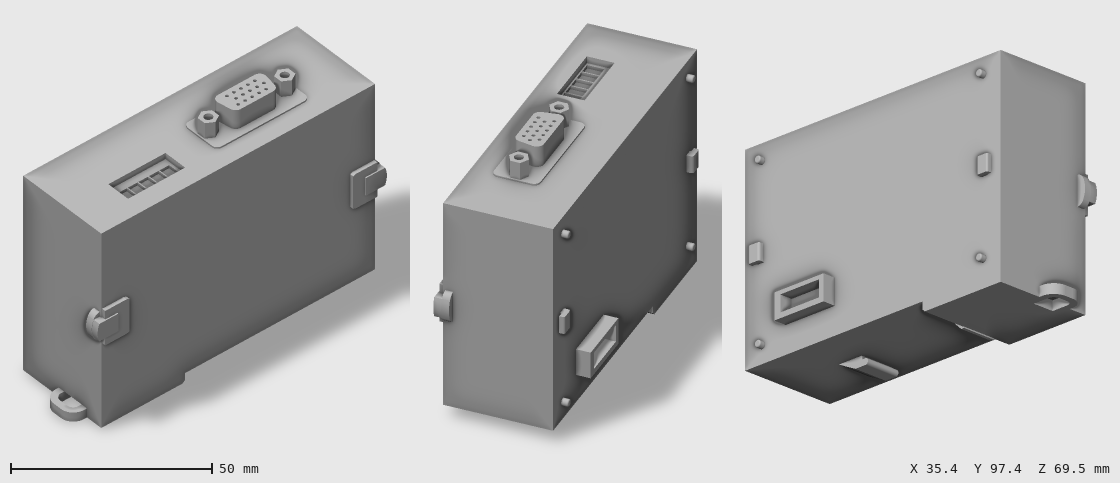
import cadquery as cq
import math

BODY_X = 29.8
BODY_Y = 89.7
BODY_Z = 59.7
FOOT_Y = 27.5
FOOT_DROP = 2.9
FOOT_CHAMFER = 0.8

PLATE_CENTRE = (17.5, 58.2)
PLATE_X = 12.7
PLATE_Y = 30.6
PLATE_HEIGHT = 0.5
PLATE_RADIUS = 1.8
SHELL_X = 7.9
SHELL_LONG_SIDE = 16.7
SHELL_TAPER = 10.0
SHELL_RADIUS = 1.9
SHELL_TOP = 6.5
CONTACT_DIA = 1.0
CONTACT_DEPTH = 2.9
CONTACTS_PER_ROW = 5
CONTACT_ROW_LENGTH = 9.2
CONTACT_PITCH = CONTACT_ROW_LENGTH / (CONTACTS_PER_ROW - 1)
CONTACT_ROW_GAP = 2.1
STANDOFF_SPACING = 25.0
STANDOFF_FLATS = 4.7
STANDOFF_TOP = 5.5
STANDOFF_BORE = 2.5

BANK_X = 7.5
BANK_Y = 18.7
BANK_CENTRE = (20.1, 23.3)
BANK_DEPTH = 1.9
SWITCH_COUNT = 5
SWITCH_X = 4.7
SWITCH_Y = 3.1
SWITCH_ROW_LENGTH = 13.8
SWITCH_PITCH = SWITCH_ROW_LENGTH / (SWITCH_COUNT - 1)
SWITCH_DEPTH = 1.0
SWITCH_OFFSET_X = 1.0

SOCKET_PROJECTION = 4.0
SOCKET_Y = 17.2
SOCKET_Z = 7.6
SOCKET_CENTRE = (66.8, 11.9)
CAVITY_Y = 13.6
CAVITY_Z = 4.9
CAVITY_CENTRE = (66.5, 12.1)

SIDE_PROJECTION = 1.85
PIN_DIA = 2.0
PIN_ROUNDING = 0.4
PIN_INSET = 6.0
PIN_LEVELS = (5.1, 54.9)
HOOK_LEVEL = 29.8
HOOK_Z = 5.0
HOOK_INSET = 2.9
HOOK_LENGTH = 3.8
HOOK_BARB = 1.6
HOOK_GAP = 0.4
HOOK_BARB_RADIUS = 0.5
HOOK_NECK_RADIUS = 0.7

CLIP_LEVEL = HOOK_LEVEL
CLIP_OVERHANG = 2.6
CLIP_Z = 8.7
CLIP_NOSE_RADIUS = 7.0
CLIP_CORNER_RADIUS = 2.4
CLIP_X_START = 27.1
CLIP_X_END = 29.2
TONGUE_Z = 5.65
TONGUE_PROJECTION = 1.6
TONGUE_RECESS = 0.1
TONGUE_LENGTH = 4.3
CLIP_PLATE_THICKNESS = 1.2
CLIP_PLATE_INSET = 0.3
CLIP_PLATE_END = 8.2
CLIP_PLATE_Z = 11.1
CLIP_PLATE_RAMP = 0.9
CLIP_PLATE_TAPER = 0.3

LATCH_X = 13.6
LATCH_WIDTH = 10.7
LOOP_LENGTH = 5.1
LOOP_RADIUS = 4.0
LOOP_WALL = 2.0
LOOP_SLOT_END = 4.0
LIP_REACH = 2.2
LIP_TOP = 1.2
LATCH_DROP = 3.3
LIP_FLAT = 1.0
RAIL_HOOK_ROOT_Y = 70.4
RAIL_HOOK_HEEL_Y = 64.6
RAIL_HOOK_NECK_Y = 62.4
RAIL_HOOK_TIP_Y = 60.2
RAIL_HOOK_GAP = 1.1
RAIL_HOOK_TIP_RADIUS = 0.8
RAIL_HOOK_EMBED = 0.5


def span_box(x, y, z):
    """Box from (low, high) pairs along each axis."""
    size = (x[1] - x[0], y[1] - y[0], z[1] - z[0])
    return cq.Workplane("XY").box(*size, centered=False).translate((x[0], y[0], z[0]))


def side_profile(points, x_start, x_end):
    """Extrude a closed (Y, Z) outline along X."""
    return cq.Workplane("YZ", origin=(x_start, 0, 0)).polyline(points).close().extrude(x_end - x_start)


def mirrored_ends(piece):
    """The piece at the Y = 0 end and its mirror image at the far end."""
    return piece.union(piece.mirror("XZ", (0, BODY_Y / 2, 0)))


def housing():
    outline = [
        (0, -FOOT_DROP),
        (FOOT_Y - FOOT_CHAMFER, -FOOT_DROP),
        (FOOT_Y, FOOT_CHAMFER - FOOT_DROP),
        (FOOT_Y, 0),
        (BODY_Y, 0),
        (BODY_Y, BODY_Z),
        (0, BODY_Z),
    ]
    return side_profile(outline, 0, BODY_X)


def dsub_connector():
    top = cq.Workplane("XY", origin=(*PLATE_CENTRE, BODY_Z))
    plate = top.rect(PLATE_X, PLATE_Y).extrude(PLATE_HEIGHT).edges("|Z").fillet(PLATE_RADIUS)

    long_half = SHELL_LONG_SIDE / 2
    short_half = long_half - SHELL_X * math.tan(math.radians(SHELL_TAPER))
    shell = (
        top.polyline([
            (-SHELL_X / 2, -long_half),
            (SHELL_X / 2, -short_half),
            (SHELL_X / 2, short_half),
            (-SHELL_X / 2, long_half),
        ])
        .close()
        .extrude(SHELL_TOP)
        .edges("|Z")
        .fillet(SHELL_RADIUS)
    )

    contacts = []
    for row in (-1, 0, 1):
        shift = CONTACT_PITCH / 2 if row == 0 else 0
        for index in range(CONTACTS_PER_ROW):
            y = index * CONTACT_PITCH - CONTACT_ROW_LENGTH / 2 + shift
            contacts.append((row * CONTACT_ROW_GAP, y))
    sockets = (
        top.workplane(offset=SHELL_TOP - CONTACT_DEPTH)
        .pushPoints(contacts)
        .circle(CONTACT_DIA / 2)
        .extrude(CONTACT_DEPTH)
    )

    places = [(0, -STANDOFF_SPACING / 2), (0, STANDOFF_SPACING / 2)]
    standoff_corners = STANDOFF_FLATS / math.cos(math.pi / 6)
    standoffs = top.pushPoints(places).polygon(6, standoff_corners).extrude(STANDOFF_TOP)
    bores = (
        top.workplane(offset=PLATE_HEIGHT)
        .pushPoints(places)
        .circle(STANDOFF_BORE / 2)
        .extrude(STANDOFF_TOP - PLATE_HEIGHT)
    )
    return plate.union(shell.cut(sockets)).union(standoffs.cut(bores))


def switch_bank():
    """Material removed for the recess and the switch windows in its floor."""
    top = cq.Workplane("XY", origin=(*BANK_CENTRE, BODY_Z))
    recess = top.rect(BANK_X, BANK_Y).extrude(-BANK_DEPTH)
    windows = (
        top.center(SWITCH_OFFSET_X, 0)
        .rarray(1, SWITCH_PITCH, 1, SWITCH_COUNT)
        .rect(SWITCH_X, SWITCH_Y)
        .extrude(-BANK_DEPTH - SWITCH_DEPTH)
    )
    return recess.union(windows)


def side_socket():
    face = cq.Workplane("YZ")
    block = face.center(*SOCKET_CENTRE).rect(SOCKET_Y, SOCKET_Z).extrude(-SOCKET_PROJECTION)
    cavity = face.center(*CAVITY_CENTRE).rect(CAVITY_Y, CAVITY_Z).extrude(-SOCKET_PROJECTION)
    return block.cut(cavity)


def locating_pins():
    places = [(y, z) for y in (PIN_INSET, BODY_Y - PIN_INSET) for z in PIN_LEVELS]
    pins = cq.Workplane("YZ").pushPoints(places).circle(PIN_DIA / 2).extrude(-SIDE_PROJECTION)
    return pins.faces("<X").edges().fillet(PIN_ROUNDING)


def snap_hook():
    """Hook at the Y = 0 end; its barb points outwards, clear of the housing."""
    barb_y = HOOK_INSET
    neck_y = HOOK_INSET + HOOK_BARB
    back_y = HOOK_INSET + HOOK_LENGTH
    hook = (
        cq.Workplane("XY", origin=(0, 0, HOOK_LEVEL - HOOK_Z / 2))
        .polyline([
            (0, neck_y),
            (-HOOK_GAP, neck_y),
            (-HOOK_GAP, barb_y),
            (-SIDE_PROJECTION, barb_y),
            (-SIDE_PROJECTION, back_y),
            (0, back_y),
        ])
        .close()
        .extrude(HOOK_Z)
    )
    hook = hook.edges("|Z and <X and <Y").fillet(HOOK_BARB_RADIUS)
    return hook.edges("|Z and <X and >Y").fillet(HOOK_NECK_RADIUS)


def release_clip():
    """Clip at the Y = 0 end: rounded finger cap, tongue and backing plate."""
    half = CLIP_Z / 2
    sagitta = CLIP_NOSE_RADIUS - math.sqrt(CLIP_NOSE_RADIUS**2 - half**2)
    flank_y = sagitta - CLIP_OVERHANG
    outer_x = BODY_X + TONGUE_PROJECTION
    nose = (
        cq.Workplane("YZ", origin=(CLIP_X_START, 0, CLIP_LEVEL))
        .moveTo(CLIP_OVERHANG, -half)
        .lineTo(flank_y, -half)
        .threePointArc((-CLIP_OVERHANG, 0), (flank_y, half))
        .lineTo(CLIP_OVERHANG, half)
        .close()
        .extrude(outer_x - CLIP_X_START)
        .edges("|X and (not >Y)")
        .fillet(CLIP_CORNER_RADIUS)
    )
    levels = (CLIP_LEVEL - half, CLIP_LEVEL + half)
    tongue_levels = (CLIP_LEVEL - TONGUE_Z / 2, CLIP_LEVEL + TONGUE_Z / 2)
    cap = nose.intersect(span_box((CLIP_X_START, CLIP_X_END), (-CLIP_OVERHANG, 0), levels))
    tongue_tip = nose.translate((0, TONGUE_RECESS, 0)).intersect(
        span_box((CLIP_X_END, outer_x), (-CLIP_OVERHANG, 0), tongue_levels)
    )
    tongue = span_box((BODY_X, outer_x), (0, TONGUE_LENGTH), tongue_levels)
    plate_half = CLIP_PLATE_Z / 2
    ramp_y = CLIP_PLATE_END - CLIP_PLATE_RAMP
    end_half = plate_half - CLIP_PLATE_TAPER
    plate = side_profile(
        [
            (CLIP_PLATE_INSET, CLIP_LEVEL - plate_half),
            (ramp_y, CLIP_LEVEL - plate_half),
            (CLIP_PLATE_END, CLIP_LEVEL - end_half),
            (CLIP_PLATE_END, CLIP_LEVEL + end_half),
            (ramp_y, CLIP_LEVEL + plate_half),
            (CLIP_PLATE_INSET, CLIP_LEVEL + plate_half),
        ],
        BODY_X,
        BODY_X + CLIP_PLATE_THICKNESS,
    )
    return cap.union(tongue_tip).union(tongue).union(plate)


def latch_opening():
    """Finger opening through the pull loop, running on into the foot."""
    opening = span_box(
        (LATCH_X + LOOP_WALL, LATCH_X + LATCH_WIDTH - LOOP_WALL),
        (LOOP_WALL - LOOP_LENGTH, LOOP_SLOT_END),
        (-FOOT_DROP, 0),
    )
    return opening.edges("|Z and <Y").fillet(LOOP_RADIUS - LOOP_WALL)


def rail_latch():
    """Pull loop at the Y = 0 end and the latch lip at the inner end of the foot."""
    loop_x = (LATCH_X, LATCH_X + LATCH_WIDTH)
    loop = span_box(loop_x, (-LOOP_LENGTH, 0), (-FOOT_DROP, 0))
    loop = loop.edges("|Z and <Y").fillet(LOOP_RADIUS)
    lip = side_profile(
        [
            (FOOT_Y - LIP_FLAT, -LIP_TOP),
            (FOOT_Y + LIP_REACH, -LIP_TOP),
            (FOOT_Y, -LATCH_DROP),
            (FOOT_Y - LIP_FLAT, -LATCH_DROP),
        ],
        *loop_x,
    )
    return loop.union(lip)


def rail_hook():
    """Fixed hook opposite the latch, with a rounded tip facing it."""
    hook = side_profile(
        [
            (RAIL_HOOK_NECK_Y, RAIL_HOOK_EMBED),
            (RAIL_HOOK_ROOT_Y, RAIL_HOOK_EMBED),
            (RAIL_HOOK_ROOT_Y, 0),
            (RAIL_HOOK_HEEL_Y, -FOOT_DROP),
            (RAIL_HOOK_TIP_Y, -FOOT_DROP),
            (RAIL_HOOK_TIP_Y, -RAIL_HOOK_GAP),
            (RAIL_HOOK_NECK_Y, -RAIL_HOOK_GAP),
        ],
        LATCH_X,
        LATCH_X + LATCH_WIDTH,
    )
    return hook.edges("|X and <Y").fillet(RAIL_HOOK_TIP_RADIUS)


result = (
    housing()
    .cut(switch_bank())
    .union(dsub_connector())
    .union(side_socket())
    .union(locating_pins())
    .union(mirrored_ends(snap_hook()))
    .union(mirrored_ends(release_clip()))
    .union(rail_latch())
    .cut(latch_opening())
    .union(rail_hook())
)